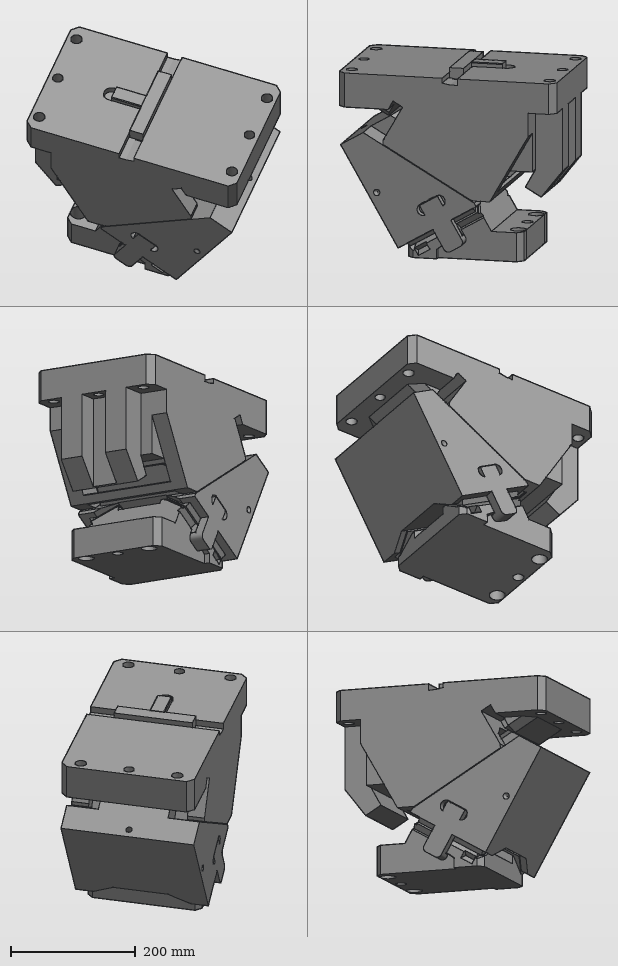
import cadquery as cq
import math

LENGTH = 360.0
WIDTH = 220.0
HALF_WIDTH = WIDTH / 2
TOP_Z = 309.0
KEY_HEIGHT = 8.0
PLATE_TOP = TOP_Z - KEY_HEIGHT
REACH = 432.0
OVERCUT = 3.5

TILT = math.radians(30)
COS, SIN = math.cos(TILT), math.sin(TILT)

RAIL_X, RAIL_Z = 116.0, 89.3
RAMP_X, RAMP_Z = 130.5, 92.5


def rail_point(along, above):
    """XZ position of a point given in rail coordinates."""
    return RAIL_X + along * COS - above * SIN, RAIL_Z + along * SIN + above * COS


def ramp_point(down, out):
    """XZ position of a point given in ramp coordinates."""
    return RAMP_X + down * COS + out * SIN, RAMP_Z - down * SIN + out * COS


def side_plate(points, half_width):
    """XZ outline extruded to both sides of the middle plane."""
    return cq.Workplane("XZ").polyline(points).close().extrude(half_width, both=True)


def with_mirror(half):
    """Add the points mirrored across the middle plane to one half of a section."""
    return half + [(-y, h) for y, h in reversed(half)]


def rail_prism(section, start, end):
    """Section of (y, above) points swept along the rail."""
    x, z = rail_point(start, 0)
    plane = cq.Plane(origin=(x, 0, z), xDir=(0, 1, 0), normal=(COS, 0, SIN))
    return cq.Workplane(plane).polyline(section).close().extrude(end - start)


def ramp_prism(section, start, end):
    """Section of (y, out) points swept down the ramp."""
    x, z = ramp_point(start, 0)
    plane = cq.Plane(origin=(x, 0, z), xDir=(0, 1, 0), normal=(COS, 0, -SIN))
    return cq.Workplane(plane).polyline(section).close().extrude(end - start)


def ramp_side(y):
    """Workplane in ramp coordinates at the given y, facing -Y."""
    plane = cq.Plane(origin=(RAMP_X, y, RAMP_Z), xDir=(COS, 0, -SIN), normal=(0, -1, 0))
    return cq.Workplane(plane)


def mirrored(solid):
    """The same shape on the other side of the middle plane."""
    return solid.mirror("XZ")


PLATE_LEFT_BOTTOM = 251.0
PLATE_RIGHT_BOTTOM = 244.8
PLATE_CHAMFER = 10.8
FRONT_X = 45.0
BODY_BOTTOM = 102.0
FRONT_SLOPE_TOP = RAIL_Z + (RAIL_X - FRONT_X) / math.tan(TILT)
BODY_RAIL_END = 198.7
TOE_CHAMFER = 5.8
NOTCH_WIDTH = 18.5
NOTCH_TOP = 70.5
STOP_THICKNESS = 9.0
STOP_HEIGHT = 13.5
STOP_HALF_WIDTH = 21.5

BLOCK_HALF_WIDTH = 82.0
BLOCK_BOTTOM = 148.5

PRONG_HALF_WIDTH = 61.2
PRONG_TIP = (35.5, 103.5)
PRONG_HEEL = (62.0, 118.5)
PRONG_SLOT_HALF_WIDTH = 22.0
PRONG_SLOT_DEPTH = 34.2

LIP_THICKNESS = 5.8
LIP_TOP = 28.5
POCKET_TOP = 68.5
POCKET_END = 45.0

RIB_HALF_WIDTH = 72.0
RIB_EDGE = 39.0
RIB_BOTTOM = 28.5
RIB_FLAT_HALF_WIDTH = 54.0

CHANNEL_START, CHANNEL_END = 162.0, 187.2
CHANNEL_STEP = 173.5
CHANNEL_DEPTH = 10.5
CHANNEL_SHALLOW = 8.0
STEM_SLOT_CENTRE = 107.5
STEM_SLOT_WIDTH = 25.2
KEY_GAP = 1.0
KEY_HALF_LENGTH = 64.8
KEY_SEAT_HALF_LENGTH = 66.2
STEM_START = 112.0
STEM_HALF_WIDTH = 12.2
STEM_CHAMFER = 1.5
STEM_DROP = 0.7

BOLT_HOLE = 18.0
DOWEL_HOLE = 16.5
LEFT_HOLE_X, LEFT_HOLE_Y = 15.5, 84.5
RIGHT_HOLE_X, RIGHT_HOLE_Y = 344.0, 80.0

RIDGE_HALF_WIDTH = 80.3
RIDGE_SHOULDER = 31.5
RIDGE_BEVEL = 31.0
RIDGE_TOP = 49.5
RIDGE_START = 44.3
RIDGE_FOOT = 3.5
RIDGE_STEP = 180.0
TONGUE_HALF_WIDTH = 57.5
RIDGE_CLEARANCE = 1.5


def ridge_section(half_width, clearance=0.0):
    """Ridge with bevelled upper edges; its foot reaches into the slider body."""
    return with_mirror([
        (half_width + clearance, -RIDGE_FOOT),
        (half_width + clearance, RIDGE_SHOULDER + clearance),
        (half_width - RIDGE_BEVEL + clearance, RIDGE_TOP + clearance),
    ])


def rect_section(half_width, low, high):
    """Rectangular section centred on the middle plane."""
    return with_mirror([(half_width, low), (half_width, high)])


def bracket_body():
    """Top plate and body with the front slope, rail face and rear notch."""
    slope_end_above = (BODY_BOTTOM - RAIL_Z) / COS
    rail_start = (BODY_BOTTOM - RAIL_Z) / SIN
    notch_end = BODY_RAIL_END + NOTCH_WIDTH
    notch_drop = (rail_point(notch_end, 0)[1] + NOTCH_TOP * COS - PLATE_RIGHT_BOTTOM) / COS
    outline = [
        (0, PLATE_TOP),
        (0, PLATE_LEFT_BOTTOM),
        (FRONT_X, PLATE_LEFT_BOTTOM),
        (FRONT_X, FRONT_SLOPE_TOP),
        rail_point(0, slope_end_above),
        rail_point(rail_start, 0),
        rail_point(BODY_RAIL_END - TOE_CHAMFER / 2, 0),
        rail_point(BODY_RAIL_END, TOE_CHAMFER),
        rail_point(BODY_RAIL_END, NOTCH_TOP),
        rail_point(notch_end, NOTCH_TOP),
        rail_point(notch_end, NOTCH_TOP - notch_drop),
        (LENGTH, PLATE_RIGHT_BOTTOM),
        (LENGTH, PLATE_TOP),
    ]
    body = side_plate(outline, HALF_WIDTH)
    return body.edges("|Z and (<X or >X)").chamfer(PLATE_CHAMFER)


def front_block():
    """Narrower block filling the corner in front of the slope."""
    slope_x = FRONT_X + (FRONT_SLOPE_TOP - BLOCK_BOTTOM) * math.tan(TILT)
    outline = [(FRONT_X, FRONT_SLOPE_TOP), (FRONT_X, BLOCK_BOTTOM), (slope_x, BLOCK_BOTTOM)]
    return side_plate(outline, BLOCK_HALF_WIDTH)


def prongs():
    """Bent arm at the front, split into two prongs by a slot."""
    outline = [
        (0, PLATE_LEFT_BOTTOM),
        (0, BLOCK_BOTTOM),
        PRONG_TIP,
        PRONG_HEEL,
        (FRONT_X, BLOCK_BOTTOM),
        (FRONT_X, PLATE_LEFT_BOTTOM),
    ]
    slot = (
        cq.Workplane("XY")
        .box(PRONG_SLOT_DEPTH, 2 * PRONG_SLOT_HALF_WIDTH, PLATE_LEFT_BOTTOM, centered=(False, True, False))
    )
    return side_plate(outline, PRONG_HALF_WIDTH).cut(slot)


def rear_rib():
    """Rib under the plate behind the notch, with bevelled lower edges."""
    start = BODY_RAIL_END + NOTCH_WIDTH
    bottom_x, bottom_z = rail_point(start, RIB_BOTTOM)
    end_x = bottom_x + (PLATE_RIGHT_BOTTOM - bottom_z) / math.tan(TILT)
    root_x = bottom_x - (PLATE_RIGHT_BOTTOM - bottom_z) * math.tan(TILT)
    outline = [(bottom_x, bottom_z), (end_x, PLATE_RIGHT_BOTTOM), (root_x, PLATE_RIGHT_BOTTOM)]
    section = with_mirror([
        (RIB_FLAT_HALF_WIDTH, RIB_BOTTOM),
        (RIB_HALF_WIDTH, RIB_EDGE),
        (RIB_HALF_WIDTH, POCKET_TOP),
    ])
    return side_plate(outline, RIB_HALF_WIDTH).intersect(rail_prism(section, 0, REACH))


def notch_stop():
    """Stop block in the upper corner of the notch."""
    section = rect_section(STOP_HALF_WIDTH, NOTCH_TOP - STOP_HEIGHT, NOTCH_TOP)
    return rail_prism(section, BODY_RAIL_END, BODY_RAIL_END + STOP_THICKNESS)


def front_window():
    """Pocket behind the front slope, open above a thin lip."""
    opening = rail_prism(rect_section(BLOCK_HALF_WIDTH, LIP_TOP, POCKET_TOP), -LIP_THICKNESS, POCKET_END)
    hollow = rail_prism(rect_section(BLOCK_HALF_WIDTH, 0, POCKET_TOP), LIP_THICKNESS, POCKET_END)
    return opening.union(hollow)


def top_channel():
    """Cross channel with a sloped floor on its outer stretches, and the slot for the key stem."""
    floor = PLATE_TOP - CHANNEL_DEPTH
    full = (
        cq.Workplane("XZ")
        .polyline([
            (CHANNEL_START, PLATE_TOP),
            (CHANNEL_START, floor),
            (CHANNEL_STEP, floor),
            (CHANNEL_END, PLATE_TOP - CHANNEL_SHALLOW),
            (CHANNEL_END, PLATE_TOP),
        ])
        .close()
        .extrude(HALF_WIDTH, both=True)
    )
    stem_slot = (
        cq.Workplane("XY", origin=(0, 0, floor))
        .center((STEM_SLOT_CENTRE + CHANNEL_STEP) / 2, 0)
        .slot2D(CHANNEL_STEP - STEM_SLOT_CENTRE + STEM_SLOT_WIDTH, STEM_SLOT_WIDTH)
        .extrude(CHANNEL_DEPTH)
    )
    stem_slot = stem_slot.intersect(
        cq.Workplane("XY").box(CHANNEL_STEP, WIDTH, 2 * TOP_Z, centered=(False, True, False))
    )
    key_seat = (
        cq.Workplane("XY", origin=((CHANNEL_START + CHANNEL_END) / 2, 0, floor))
        .rect(CHANNEL_END - CHANNEL_START, 2 * KEY_SEAT_HALF_LENGTH)
        .extrude(CHANNEL_DEPTH)
    )
    return full.union(stem_slot).union(key_seat)


def t_key():
    """T-shaped key standing proud of the plate."""
    floor = PLATE_TOP - CHANNEL_DEPTH
    height = TOP_Z - floor
    bar_start, bar_end = CHANNEL_START + KEY_GAP, CHANNEL_END - KEY_GAP
    bar = (
        cq.Workplane("XY", origin=(bar_start, 0, floor))
        .box(bar_end - bar_start, 2 * KEY_HALF_LENGTH, height, centered=(False, True, False))
    )
    stem = (
        cq.Workplane("XY", origin=(STEM_START, 0, floor))
        .box(bar_start - STEM_START, 2 * STEM_HALF_WIDTH, height - STEM_DROP, centered=(False, True, False))
        .edges("|X and >Z")
        .chamfer(STEM_CHAMFER)
    )
    return bar.union(stem)


def plate_holes():
    """Bolt and dowel holes at both ends of the plate."""
    bolts = [(x, side * y) for x, y in ((LEFT_HOLE_X, LEFT_HOLE_Y), (RIGHT_HOLE_X, RIGHT_HOLE_Y))
             for side in (-1, 1)]
    dowels = [(LEFT_HOLE_X, 0), (RIGHT_HOLE_X, 0)]
    depth = PLATE_TOP - PLATE_RIGHT_BOTTOM
    base = cq.Workplane("XY", origin=(0, 0, PLATE_RIGHT_BOTTOM))
    bolt_holes = base.pushPoints(bolts).circle(BOLT_HOLE / 2).extrude(depth)
    dowel_holes = base.pushPoints(dowels).circle(DOWEL_HOLE / 2).extrude(depth)
    return bolt_holes.union(dowel_holes)


def make_bracket():
    """Bracket with its key as one solid."""
    body = bracket_body().union(front_block())
    body = body.cut(front_window())
    ridge_channel = ridge_section(RIDGE_HALF_WIDTH, RIDGE_CLEARANCE)
    body = body.cut(rail_prism(ridge_channel, RIDGE_START, BODY_RAIL_END + OVERCUT))
    body = body.union(prongs()).union(rear_rib()).union(notch_stop())
    return body.cut(top_channel()).cut(plate_holes()).union(t_key())


SLIDER_DEPTH = 149.5
SLIDER_HEIGHT = 190.8
RAIL_GAP = 1.0
SHOULDER_START = 36.5
SHOULDER_TOP = 17.0
SHOULDER_HALF_WIDTH = 78.0

ROOF_SLOPE = 0.6
ROOF_INNER_Y = 45.5
PAD_START, PAD_END = 11.5, 136.8
PAD_THICKNESS = 2.5
PAD_OUTER_Y = 94.5
PAD_EDGE_Y, PAD_EDGE = 89.3, -7.5

HOOK_START, HOOK_END = 48.5, 82.8
HOOK_BOTTOM = -44.3
HOOK_RADIUS = 8.0
HOOK_LIP_TOP = -31.5
HOOK_LIP_Y = 86.5
HOOK_PLATE_Y = 95.0
RECESS_START, RECESS_END = 40.5, 90.7
RECESS_LOW, RECESS_HIGH = 26.5, 45.7
RECESS_DEPTH = 14.5
HOOK_TOP_GAP = 1.0

SIDE_HOLE = 10.5
SIDE_HOLE_DOWN, SIDE_HOLE_OUT = 135.5, 95.5
SIDE_HOLE_DEPTH = 5.0
SIDE_HOLE_TAPER = 45
END_HOLE = 9.7
END_HOLE_DEPTH = 18.0


def slider_body():
    """Four-sided block between the ramp and the rail."""
    gap_x, gap_z = rail_point(0, -RAIL_GAP)
    gap_down = (gap_x - RAMP_X) * COS - (gap_z - RAMP_Z) * SIN
    gap_out = (gap_x - RAMP_X) * SIN + (gap_z - RAMP_Z) * COS
    rail_foot = gap_out - gap_down / math.tan(TILT)
    top_start = gap_down + (SLIDER_HEIGHT - gap_out) * math.tan(TILT)
    outline = [
        (0, 0),
        (SLIDER_DEPTH, 0),
        (SLIDER_DEPTH, SLIDER_HEIGHT),
        (top_start, SLIDER_HEIGHT),
        (0, rail_foot),
    ]
    return ramp_side(HALF_WIDTH).polyline(outline).close().extrude(WIDTH)


def slider_ridge():
    """Guide ridge on the rail face: a shoulder, a wide front and a narrow rear tongue."""
    end_cap = (
        ramp_side(HALF_WIDTH)
        .rect(2 * REACH, 2 * SLIDER_HEIGHT)
        .extrude(WIDTH)
    )
    ridge = rail_prism(ridge_section(RIDGE_HALF_WIDTH), RIDGE_START, RIDGE_STEP)
    tongue = rail_prism(ridge_section(TONGUE_HALF_WIDTH), RIDGE_STEP, REACH).intersect(end_cap)
    shoulder_section = rect_section(SHOULDER_HALF_WIDTH, -RIDGE_FOOT, SHOULDER_TOP)
    shoulder = rail_prism(shoulder_section, SHOULDER_START, RIDGE_START)
    return ridge.union(tongue).union(shoulder)


def roof_line(y):
    """Height of the slider's sliding face at the given y."""
    return PAD_EDGE + ROOF_SLOPE * (PAD_EDGE_Y - y)


def roof_cavity():
    """V-shaped groove under the slider, deep enough for the wear pads."""
    inner = (ROOF_INNER_Y, roof_line(ROOF_INNER_Y) + PAD_THICKNESS)
    outer = (PAD_EDGE_Y, PAD_EDGE + PAD_THICKNESS)
    return ramp_prism(with_mirror([outer, inner]), -OVERCUT, SLIDER_DEPTH + OVERCUT)


def wear_pad():
    """Pad along one side of the groove that slides on the driver roof."""
    section = [
        (PAD_OUTER_Y, 0),
        (PAD_EDGE_Y, PAD_EDGE),
        (ROOF_INNER_Y, roof_line(ROOF_INNER_Y)),
        (ROOF_INNER_Y, roof_line(ROOF_INNER_Y) + PAD_THICKNESS),
        (PAD_EDGE_Y + (PAD_EDGE + PAD_THICKNESS) / ROOF_SLOPE, 0),
    ]
    return ramp_prism(section, PAD_START, PAD_END)


def hook():
    """Return hook on the -Y side: a plate with a lip reaching under the driver flange."""
    width = HOOK_END - HOOK_START
    middle = (HOOK_START + HOOK_END) / 2
    blank = (
        ramp_side(-HOOK_LIP_Y)
        .center(middle, HOOK_BOTTOM / 2)
        .rect(width, -HOOK_BOTTOM)
        .extrude(HALF_WIDTH - HOOK_LIP_Y)
        .edges("|Y")
        .edges(cq.selectors.DirectionMinMaxSelector(cq.Vector(SIN, 0, COS), False))
        .fillet(HOOK_RADIUS)
    )
    relief = (
        ramp_side(-HOOK_LIP_Y)
        .center(middle, HOOK_LIP_TOP / 2)
        .rect(width, -HOOK_LIP_TOP)
        .extrude(HOOK_PLATE_Y - HOOK_LIP_Y)
    )
    return blank.cut(relief)


def hook_recess():
    """Round-ended recess above the hook; the hook plate fills its middle."""
    height = RECESS_HIGH - RECESS_LOW
    level = (RECESS_LOW + RECESS_HIGH) / 2
    start = ramp_side(-HALF_WIDTH + RECESS_DEPTH)
    slot = (
        start.center((RECESS_START + RECESS_END) / 2, level)
        .slot2D(RECESS_END - RECESS_START, height)
        .extrude(RECESS_DEPTH)
    )
    plate = (
        start.center((HOOK_START + HOOK_END) / 2, level - HOOK_TOP_GAP)
        .rect(HOOK_END - HOOK_START, height)
        .extrude(RECESS_DEPTH)
    )
    return slot.cut(plate)


def side_hole():
    """Conical centre hole in the -Y face."""
    return (
        ramp_side(-HALF_WIDTH)
        .center(SIDE_HOLE_DOWN, SIDE_HOLE_OUT)
        .circle(SIDE_HOLE / 2)
        .extrude(-SIDE_HOLE_DEPTH, taper=SIDE_HOLE_TAPER)
    )


def end_hole():
    """Hole in the upper end face, below the middle dowel hole of the bracket."""
    down = (RIGHT_HOLE_X - RAMP_X - SLIDER_HEIGHT * SIN) / COS
    x, z = ramp_point(down, SLIDER_HEIGHT - END_HOLE_DEPTH)
    plane = cq.Plane(origin=(x, 0, z), xDir=(0, 1, 0), normal=(SIN, 0, COS))
    return cq.Workplane(plane).circle(END_HOLE / 2).extrude(END_HOLE_DEPTH)


def make_slider():
    """Slider with its pads and return hooks as one solid."""
    body = slider_body().union(slider_ridge()).cut(roof_cavity()).cut(end_hole())
    for added in (wear_pad(), hook()):
        body = body.union(added).union(mirrored(added))
    for removed in (hook_recess(), side_hole()):
        body = body.cut(removed).cut(mirrored(removed))
    return body


BASE_START, BASE_END = 60.5, 249.0
BASE_HEIGHT = 48.0
BASE_HALF_WIDTH = 85.0
BASE_CHAMFER = 10.0
HEAD_FOOT_X = 112.0
ROOF_EDGE_Y, ROOF_EDGE = 88.5, -10.5
ROOF_PEAK_Y, ROOF_PEAK = 45.5, 15.5
ROOF_GROOVE_Y, ROOF_GROOVE = 39.5, 3.5
LEAD_IN_LENGTH = 9.7
LEAD_IN_DROP = 4.0
UNDERCUT_Y, UNDERCUT = 80.5, -20.0
UNDERCUT_FOOT = -22.5

FLANGE_HALF_WIDTH = 94.5
FLANGE_START = 49.5
FLANGE_TOP = -15.0
FLANGE_BOTTOM = -30.2
FLANGE_HOOK_END = 85.0
FLANGE_FOOT_X, FLANGE_FOOT_Z = 200.0, 15.5
POST_START = 237.5
POST_EDGE_Z, POST_TOP_Z = 12.0, 19.5
POST_TOP_HALF_WIDTH = 81.5
POST_CHAMFER = 9.5
FLANGE_NOTCH_START, FLANGE_NOTCH_END = 108.7, 130.5
FLANGE_NOTCH_HIGH = -11.0
FLANGE_NOTCH_MIDDLE = -19.5
FLANGE_NOTCH_LOW = -26.5

DRIVER_HOLE_X = 73.5
DRIVER_BOLT_Y = 59.5
DRIVER_BOLT = 25.5
DRIVER_DOWEL = 17.5


def driver_outline():
    """Base with a head whose front face is square to the ramp."""
    rise = REACH / 2
    return [
        (BASE_START, 0),
        (BASE_END, 0),
        (BASE_END, rise),
        (HEAD_FOOT_X + (rise - BASE_HEIGHT) * math.tan(TILT), rise),
        (HEAD_FOOT_X, BASE_HEIGHT),
        (BASE_START, BASE_HEIGHT),
    ]


def driver_section():
    """Section square to the ramp: V roof with a middle groove and an undercut on each side."""
    return with_mirror([
        (BASE_HALF_WIDTH, -REACH),
        (BASE_HALF_WIDTH, UNDERCUT_FOOT),
        (UNDERCUT_Y, UNDERCUT),
        (ROOF_EDGE_Y, ROOF_EDGE),
        (ROOF_PEAK_Y, ROOF_PEAK),
        (ROOF_GROOVE_Y, ROOF_PEAK),
        (ROOF_GROOVE_Y, ROOF_GROOVE),
    ])


def roof_lead_in():
    """Lowered start of the driver roof."""
    slope = (ROOF_PEAK - ROOF_EDGE) / (ROOF_EDGE_Y - ROOF_PEAK_Y)
    edge = ROOF_EDGE - LEAD_IN_DROP - slope * (FLANGE_HALF_WIDTH - ROOF_EDGE_Y)
    section = with_mirror([
        (FLANGE_HALF_WIDTH, REACH),
        (FLANGE_HALF_WIDTH, edge),
        (ROOF_PEAK_Y, ROOF_PEAK - LEAD_IN_DROP),
    ])
    return ramp_prism(section, -OVERCUT, LEAD_IN_LENGTH)


def driver_flange():
    """Wider rear part whose tongue the hook lips reach under, with bevelled top edges."""
    top_end = ((POST_START - RAMP_X) - ROOF_EDGE * SIN) / COS
    outline = [
        ramp_point(FLANGE_START, ROOF_EDGE),
        ramp_point(top_end, ROOF_EDGE),
        (POST_START, 0),
        (FLANGE_FOOT_X, 0),
        (FLANGE_FOOT_X, FLANGE_FOOT_Z),
        ramp_point(FLANGE_HOOK_END, FLANGE_BOTTOM),
        ramp_point(FLANGE_START, FLANGE_BOTTOM),
    ]
    section = with_mirror([
        (FLANGE_HALF_WIDTH, -REACH),
        (FLANGE_HALF_WIDTH, FLANGE_TOP),
        (ROOF_EDGE_Y, ROOF_EDGE),
    ])
    return side_plate(outline, FLANGE_HALF_WIDTH).intersect(ramp_prism(section, 0, REACH))


def rear_trim():
    """Space beside the head above the rear post, clear of the roof edge on the -Y side."""
    return (
        cq.Workplane("XY", origin=(POST_START, -HALF_WIDTH, 0))
        .box(BASE_END - POST_START, HALF_WIDTH - POST_TOP_HALF_WIDTH, REACH, centered=False)
    )


def rear_post():
    """Level end of the flange with sloped shoulders and chamfered rear corners."""
    section = with_mirror([
        (FLANGE_HALF_WIDTH, 0),
        (FLANGE_HALF_WIDTH, POST_EDGE_Z),
        (POST_TOP_HALF_WIDTH, POST_TOP_Z),
    ])
    return (
        cq.Workplane("YZ", origin=(POST_START, 0, 0))
        .polyline(section)
        .close()
        .extrude(BASE_END - POST_START)
        .edges("|Z and >X")
        .chamfer(POST_CHAMFER)
    )


def flange_notch():
    """V notch in the -Y side of the flange."""
    section = [
        (FLANGE_HALF_WIDTH, FLANGE_NOTCH_HIGH),
        (UNDERCUT_Y, FLANGE_NOTCH_MIDDLE),
        (FLANGE_HALF_WIDTH, FLANGE_NOTCH_LOW),
    ]
    return ramp_prism(section, FLANGE_NOTCH_START, FLANGE_NOTCH_END)


def driver_holes():
    """Two bolt holes and a dowel hole through the front ledge."""
    base = cq.Workplane("XY")
    bolts = base.pushPoints([(DRIVER_HOLE_X, side * DRIVER_BOLT_Y) for side in (-1, 1)])
    dowel = base.center(DRIVER_HOLE_X, 0).circle(DRIVER_DOWEL / 2).extrude(BASE_HEIGHT)
    return bolts.circle(DRIVER_BOLT / 2).extrude(BASE_HEIGHT).union(dowel)


def make_driver():
    """Driver with its flange as one solid."""
    body = side_plate(driver_outline(), HALF_WIDTH).intersect(ramp_prism(driver_section(), -REACH, REACH))
    body = body.edges("|Z and <X").chamfer(BASE_CHAMFER)
    trim = rear_trim()
    body = body.cut(roof_lead_in()).cut(trim).cut(mirrored(trim))
    body = body.union(driver_flange()).union(rear_post())
    notch = flange_notch()
    return body.cut(notch).cut(mirrored(notch)).cut(driver_holes())


bracket = make_bracket()
slider = make_slider()
driver = make_driver()

result = cq.Compound.makeCompound([bracket.val(), slider.val(), driver.val()])